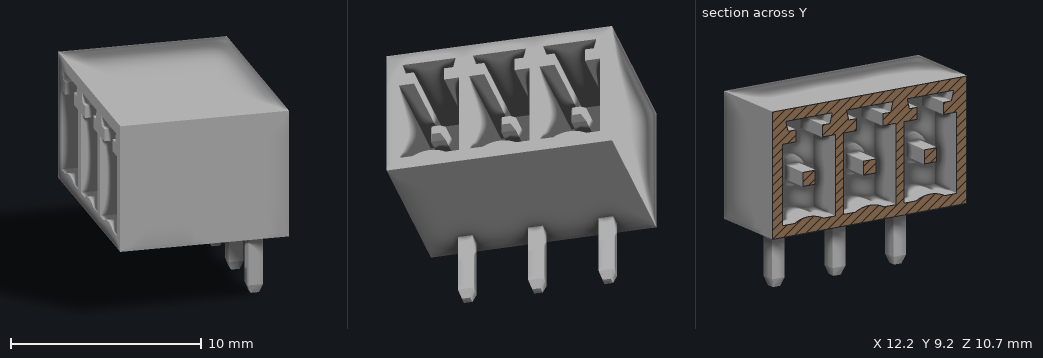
import cadquery as cq


housing_width = 12.23
housing_depth = 9.2
housing_height = 7.0
pin_count = 3
pitch = 3.82

cavity_width = 3.28
neck_width = 1.64
slot_bottom_width = 2.62
slot_top_width = 2.89
floor_z = 0.67
shoulder_z = 5.1
slot_bottom_z = 5.78
slot_top_z = 6.32
bump_width = 1.8
bump_height = 0.23

pin_size = 0.8
tip_size = 0.45
tip_length = 0.49
pin_z = 2.98
pin_recess = 1.43
leg_to_back = 1.28
leg_y = housing_depth - leg_to_back
total_height = 10.7
leg_end_z = housing_height - total_height

back_wall = 2 * leg_to_back
cavity_depth = housing_depth - back_wall

collar_base_radius = 0.87
collar_front_radius = 0.82
collar_height = 0.37


def make_housing():
    return cq.Workplane("XY").box(
        housing_width, housing_depth, housing_height, centered=(True, False, False)
    )


def make_cavity():
    """Keyed cavity centred on X = 0, running back from the front face."""
    outline = (
        cq.Workplane("XZ")
        .moveTo(-cavity_width / 2, floor_z)
        .lineTo(-bump_width / 2, floor_z)
        .threePointArc((0, floor_z + bump_height), (bump_width / 2, floor_z))
        .lineTo(cavity_width / 2, floor_z)
        .lineTo(cavity_width / 2, shoulder_z)
        .lineTo(neck_width / 2, shoulder_z)
        .lineTo(neck_width / 2, slot_bottom_z)
        .lineTo(slot_bottom_width / 2, slot_bottom_z)
        .lineTo(slot_top_width / 2, slot_top_z)
        .lineTo(-slot_top_width / 2, slot_top_z)
        .lineTo(-slot_bottom_width / 2, slot_bottom_z)
        .lineTo(-neck_width / 2, slot_bottom_z)
        .lineTo(-neck_width / 2, shoulder_z)
        .lineTo(-cavity_width / 2, shoulder_z)
        .close()
    )
    return outline.extrude(-cavity_depth)


def make_bar(length):
    """Square bar along +Z from the origin, ending in a tapered tip."""
    shank_length = length - tip_length
    shank = cq.Workplane("XY").rect(pin_size, pin_size).extrude(shank_length)
    tip = (
        cq.Workplane("XY", origin=(0, 0, shank_length))
        .rect(pin_size, pin_size)
        .workplane(offset=tip_length)
        .rect(tip_size, tip_size)
        .loft(combine=True)
    )
    return shank.union(tip)


def make_pin():
    """Bent pin centred on X = 0: a contact toward the front and a leg downward."""
    bend = (0, leg_y, pin_z)
    contact = make_bar(leg_y - pin_recess).rotate((0, 0, 0), (1, 0, 0), 90).translate(bend)
    leg = make_bar(pin_z - leg_end_z).rotate((0, 0, 0), (1, 0, 0), 180).translate(bend)
    return contact.union(leg)


def make_collar():
    return (
        cq.Workplane("XZ", origin=(0, cavity_depth, pin_z))
        .circle(collar_base_radius)
        .workplane(offset=collar_height)
        .circle(collar_front_radius)
        .loft(combine=True)
    )


result = make_housing()
for index in range(pin_count):
    position = ((index - (pin_count - 1) / 2) * pitch, 0, 0)
    result = result.cut(make_cavity().translate(position))
    result = result.union(make_collar().translate(position))
    result = result.union(make_pin().translate(position))